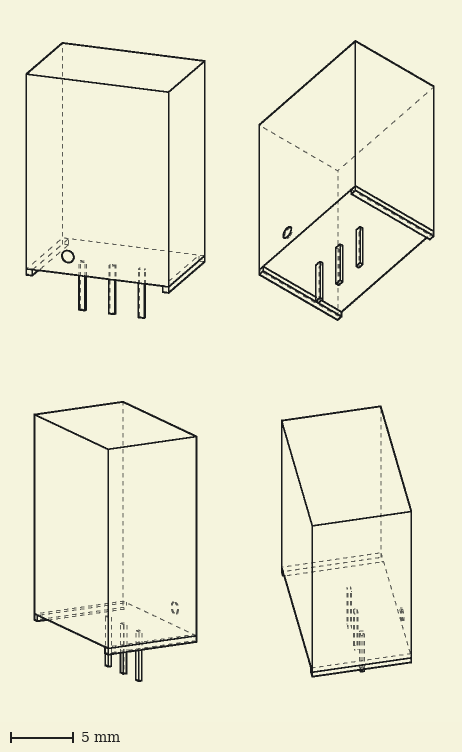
import cadquery as cq

total_height = 20.6
width = 12.2
depth = 8.1

pin_length = 4.1
housing_height = total_height - pin_length
front_y = -depth / 2

rail_width = 0.52
rail_height = 0.52

pin_count = 3
pin_pitch = 2.53
pin_width = 0.52
pin_thickness = 0.29
pin_from_front = 3.32
pin_y = front_y + pin_from_front
first_pin_x = -pin_pitch * (pin_count - 1) / 2

marker_diameter = 1.0
marker_depth = 0.1
marker_z = 1.48


def make_marker():
    """Disc whose outer face lies in the housing front face."""
    front_plane = cq.Plane(origin=(first_pin_x, front_y, marker_z), xDir=(1, 0, 0), normal=(0, -1, 0))
    return cq.Workplane(front_plane).circle(marker_diameter / 2).extrude(-marker_depth)


def make_housing(marker):
    """Block with its underside at Z = 0 and a recess that fits the marker."""
    block = cq.Workplane("XY").rect(width, depth).extrude(housing_height)
    return block.cut(marker)


def make_rail(side):
    """Full-depth standoff rail, flush with the housing end on the given side (-1 or 1)."""
    rail_x = side * (width - rail_width) / 2
    return cq.Workplane("XY").center(rail_x, 0).rect(rail_width, depth).extrude(-rail_height)


def make_pin(index):
    """Flat pin hanging from the housing underside."""
    pin_x = first_pin_x + index * pin_pitch
    return cq.Workplane("XY").center(pin_x, pin_y).rect(pin_width, pin_thickness).extrude(-pin_length)


marker = make_marker()
housing = make_housing(marker)
rails = [make_rail(side) for side in (-1, 1)]
pins = [make_pin(index) for index in range(pin_count)]

bodies = [housing, marker, *rails, *pins]
result = cq.Compound.makeCompound([body.val() for body in bodies])